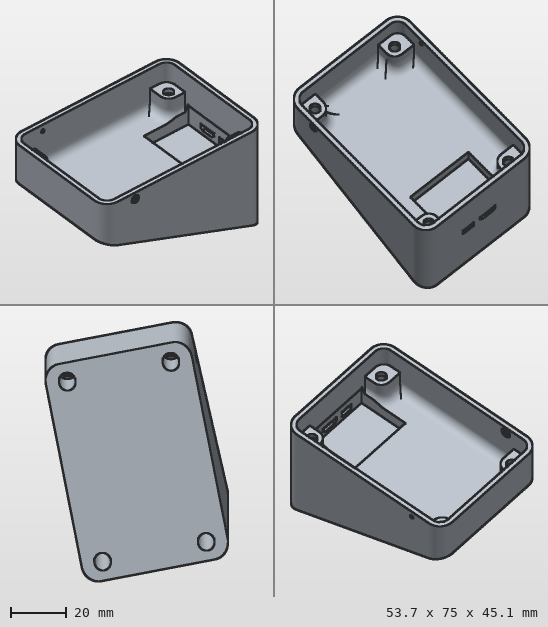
import cadquery as cq
import math

width = 53.7
length = 75.05
front_height = 17.8
slope = 20
rear_height = front_height + length * math.tan(math.radians(slope))
corner_radius = 6
wall = 2.0

floor_depth = 18
floor_fillet = 3.9
inner_width = width - 2 * wall
inner_length = length - 2 * wall

post_top_depth = 9
post_radius = 4.0
post_block = 4 * post_radius
post_offset = post_block / 2 - post_radius
screw_x = 19.1
screw_y = 31.1
screw_diameter = 4.0
screw_head_diameter = 6
screw_seat = 2.0

pocket_width = 27.8
pocket_front_y = 15.1
pocket_rear_y = 36
pocket_depth = 23.3
slot_top_depth = 19.0
slot_height = 2.4
plain_slot_x = 5.8
plain_slot_width = 5.25
tapered_slot_x = -3.45
tapered_slot_width = 7.5
taper_width = 1.2
taper_height = 1.0

side_hole_y = -23.3
side_hole_depth = 3
pin_hole_diameter = 1.4
jack_hole_diameter = 3.3
jack_recess_diameter = 4.0
jack_recess_depth = 1.1


def rounded_block(size_x, size_y, depth, radius):
    """Block hanging down from the rim plane, with rounded vertical edges."""
    block = cq.Workplane("XY").rect(size_x, size_y).extrude(-depth)
    return block.edges("|Z").fillet(radius)


def body():
    """Rounded block with a sloping underside, shallow at the front."""
    profile = (
        cq.Workplane("YZ")
        .moveTo(-length / 2, 0)
        .lineTo(length / 2, 0)
        .lineTo(length / 2, -rear_height)
        .lineTo(-length / 2, -front_height)
        .close()
        .extrude(width / 2, both=True)
    )
    return profile.edges("|Z").fillet(corner_radius)


def cavity():
    """Room inside the walls, leaving the four posts, with a filleted floor."""
    upper = rounded_block(inner_width, inner_length, post_top_depth, corner_radius - wall)
    lower = cq.Workplane("XY").rect(inner_width, inner_length).extrude(-floor_depth)
    for side in (-1, 1):
        for end in (-1, 1):
            post = (
                cq.Workplane("XY")
                .center(side * screw_x, end * screw_y)
                .rect(post_block, post_block)
                .extrude(-floor_depth)
                .translate((side * post_offset, end * post_offset, 0))
            )
            inner_face = ("<" if side > 0 else ">") + "X"
            inner_end = ("<" if end > 0 else ">") + "Y"
            post = post.faces(inner_face).edges("|Z").edges(inner_end).fillet(post_radius)
            lower = lower.cut(post)
    lower = lower.faces("<Z").edges().fillet(floor_fillet)
    return upper.union(lower)


def front_fillet_tips():
    """Tips of the straight fillets beside the front posts, running on past the posts to a mitred end."""
    post_side = screw_x - post_radius
    toe = post_side - floor_fillet
    tip_end = floor_fillet - screw_y
    profile = (
        cq.Workplane("XZ", origin=(0, -screw_y, -floor_depth))
        .moveTo(post_side, 0)
        .lineTo(post_side, floor_fillet)
        .radiusArc((toe, 0), floor_fillet)
        .close()
        .extrude(-floor_fillet)
    )
    miter = (
        cq.Workplane("XY", origin=(0, 0, -floor_depth))
        .polyline([(post_side, -screw_y), (toe, -screw_y), (toe, tip_end)])
        .close()
        .extrude(floor_fillet)
    )
    tip = profile.intersect(miter)
    return tip.union(tip.mirror("YZ"))


def pocket():
    """Rectangular recess in the floor, running slightly under the rear wall."""
    top_depth = floor_depth - floor_fillet
    pocket_length = pocket_rear_y - pocket_front_y
    return (
        cq.Workplane("XY", origin=(0, pocket_front_y + pocket_length / 2, -top_depth))
        .rect(pocket_width, pocket_length)
        .extrude(top_depth - pocket_depth)
    )


def connector_slots():
    """A rectangular slot and one with cut-off lower corners, through the rear wall."""
    rear = cq.Workplane("XZ", origin=(0, pocket_rear_y - wall, -slot_top_depth))
    reach = -3 * wall
    plain = rear.center(plain_slot_x, -slot_height / 2).rect(plain_slot_width, slot_height).extrude(reach)
    half_top = tapered_slot_width / 2
    half_bottom = half_top - taper_width
    side_bottom = taper_height - slot_height
    outline = [
        (-half_top, 0),
        (half_top, 0),
        (half_top, side_bottom),
        (half_bottom, -slot_height),
        (-half_bottom, -slot_height),
        (-half_top, side_bottom),
    ]
    tapered = rear.center(tapered_slot_x, 0).polyline(outline).close().extrude(reach)
    return plain.union(tapered)


def screw_holes():
    """Vertical screw holes with head clearance opening at the underside."""
    corners = cq.Workplane("XY").rect(2 * screw_x, 2 * screw_y, forConstruction=True).vertices()
    shanks = corners.circle(screw_diameter / 2).extrude(-rear_height)
    heads = (
        cq.Workplane("XY", origin=(0, 0, -post_top_depth - screw_seat))
        .rect(2 * screw_x, 2 * screw_y, forConstruction=True)
        .vertices()
        .circle(screw_head_diameter / 2)
        .extrude(-rear_height)
    )
    return shanks.union(heads)


def side_cylinder(start_x, diameter, reach):
    """Cylinder along X at the position of the side holes."""
    plane = cq.Workplane("YZ", origin=(start_x, side_hole_y, -side_hole_depth))
    return plane.circle(diameter / 2).extrude(reach)


def side_holes():
    """Pin hole through the -X wall, stepped jack hole through the +X wall."""
    pin = side_cylinder(-width / 2, pin_hole_diameter, wall)
    jack = side_cylinder(inner_width / 2, jack_hole_diameter, wall)
    recess = side_cylinder(inner_width / 2, jack_recess_diameter, jack_recess_depth)
    return pin.union(jack).union(recess)


hollow = cavity().cut(front_fillet_tips())
result = body().cut(hollow).cut(pocket())
result = result.cut(connector_slots()).cut(screw_holes()).cut(side_holes())